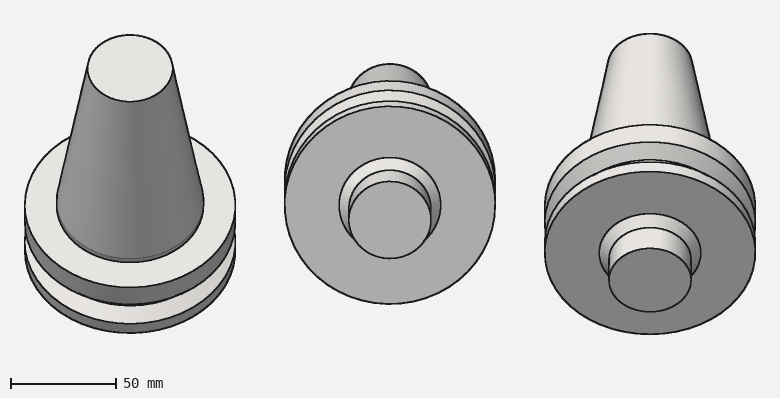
import cadquery as cq

shank_diameter = 39.0
collar_diameter = 48.3
flange_diameter = 100.0
groove_diameter = 85.0
taper_large_diameter = 69.8
taper_small_diameter = 40.5

shank_top = 15.5
flange_bottom = 20.3
groove_lower_edge = 27.5
groove_floor_bottom = 31.8
groove_floor_top = 38.2
groove_upper_edge = 42.3
flange_top = 55.3
taper_bottom = 58.3
total_height = 159.8

profile = [
    (shank_diameter, 0),
    (shank_diameter, shank_top),
    (collar_diameter, flange_bottom),
    (flange_diameter, flange_bottom),
    (flange_diameter, groove_lower_edge),
    (groove_diameter, groove_floor_bottom),
    (groove_diameter, groove_floor_top),
    (flange_diameter, groove_upper_edge),
    (flange_diameter, flange_top),
    (taper_large_diameter, flange_top),
    (taper_large_diameter, taper_bottom),
    (taper_small_diameter, total_height),
]

outer_points = [(diameter / 2, height) for diameter, height in profile]
section = cq.Workplane("XZ").polyline([(0, 0)] + outer_points + [(0, total_height)]).close()
result = section.revolve(360, (0, 0, 0), (0, 1, 0))